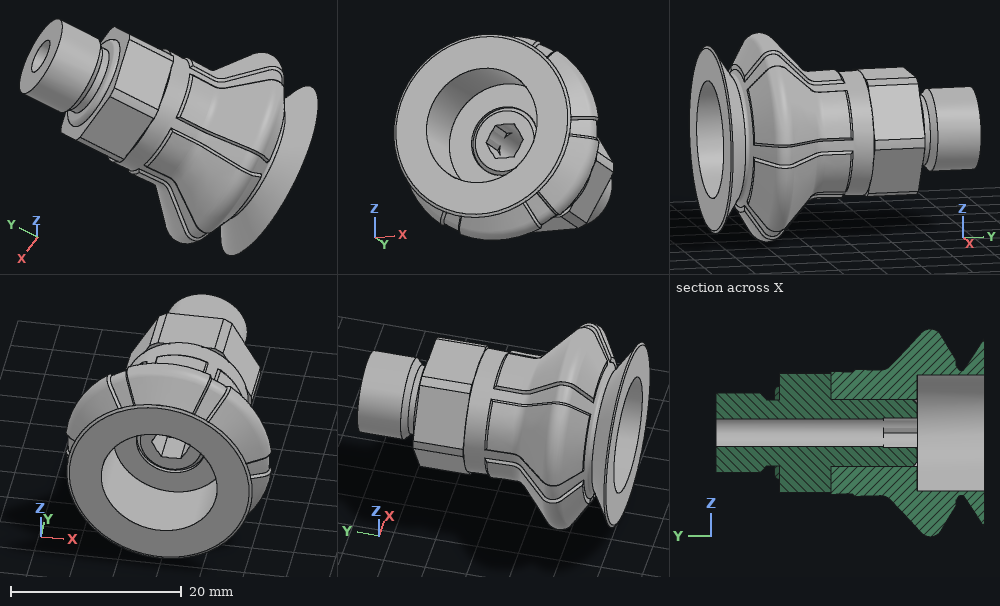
import cadquery as cq
import math


total_length = 31.5
thread_bottom = 26.27
undercut_top = 25.55
seal_top = 24.63
hex_top = 24.07
cup_top = 18.02
pad_top = 15.5
blend_start = 12.2
cavity_floor = 7.88
rim_level = 6.35
pad_bottom = 3.35
neck_bottom = 2.52
lip_thickness = 0.15

thread_radius = 4.88
stem_radius = 4.13
stem_chamfer = 0.47
hex_across_flats = 14.0
hex_corner_diameter = 15.53
bore_diameter = 4.13
key_across_flats = 4.0
key_depth = 4.0

seal_radius = 5.65
seal_rounding = 0.55

collar_top_radius = 7.37
collar_radius = 7.2
blend_radius = 1.9
rim_radius = 12.0
rim_rounding = 1.15
lower_cone_angle = math.radians(31.3)
neck_radius = 7.45
neck_blend = 0.3
lip_radius = 11.05
lip_face_radius = 10.7
cavity_radius = 6.9

pad_count = 6
pad_thickness = 0.3
pad_angle = 49.8
pad_root_radius = 7.02


def polar(centre, radius, angle):
    """Point (radius, level) on a circle of the cup section."""
    return (centre[0] + radius * math.cos(angle), centre[1] + radius * math.sin(angle))


def lower_cone_radius(level, offset=0.0):
    """Radius of the underside cone of the bellows, shifted outward by offset."""
    tangent = polar(rim_centre, rim_rounding + offset, lower_normal)
    return tangent[0] - (tangent[1] - level) / math.tan(lower_cone_angle)


blend_centre = (collar_radius + blend_radius, blend_start)
rim_centre = (rim_radius - rim_rounding, rim_level)
centre_gap_r = rim_centre[0] - blend_centre[0]
centre_gap_y = blend_centre[1] - rim_centre[1]
flank_normal = math.atan2(centre_gap_r, centre_gap_y) + math.asin(
    (blend_radius + rim_rounding) / math.hypot(centre_gap_r, centre_gap_y)
)
lower_normal = lower_cone_angle - math.pi / 2


def bellows_outline(sketch, offset):
    """Continue an outline from the collar down to the underside cone, shifted outward by offset."""
    blend = blend_radius - offset
    rim = rim_rounding + offset
    return (
        sketch.lineTo(collar_radius + offset, blend_start)
        .threePointArc(
            polar(blend_centre, blend, math.pi + flank_normal / 2),
            polar(blend_centre, blend, math.pi + flank_normal),
        )
        .lineTo(*polar(rim_centre, rim, flank_normal))
        .threePointArc(
            polar(rim_centre, rim, 0),
            polar(rim_centre, rim, lower_normal),
        )
    )


def axial_sketch():
    """Empty section plane with coordinates (radius along Z, Y)."""
    return cq.Workplane("ZY")


def revolve(sketch, degrees=360):
    """Close a section and turn it about the Y axis."""
    return sketch.close().revolve(degrees, (0, 0), (0, 1))


def make_cup_core():
    """Cup without pads: collar, bellows, neck and lip, with the cavity and the stem hole."""
    neck_corner = pad_bottom - (lower_cone_radius(pad_bottom) - neck_radius) * math.tan(lower_cone_angle)
    setback = neck_blend * math.tan((math.pi / 2 - lower_cone_angle) / 2)
    blend_top = neck_corner + setback * math.sin(lower_cone_angle)
    blend_bottom = neck_corner - setback
    sketch = axial_sketch().moveTo(stem_radius, cup_top).lineTo(collar_top_radius, cup_top)
    sketch = (
        bellows_outline(sketch, 0)
        .lineTo(lower_cone_radius(blend_top), blend_top)
        .tangentArcPoint((neck_radius, blend_bottom), relative=False)
        .lineTo(neck_radius, neck_bottom)
        .lineTo(lip_radius, lip_thickness)
        .lineTo(lip_face_radius, 0)
        .lineTo(cavity_radius, 0)
        .lineTo(cavity_radius, cavity_floor)
        .lineTo(stem_radius, cavity_floor)
    )
    return revolve(sketch)


def make_pad():
    """One raised pad with its top and side edges bevelled down to the cup surface."""
    taper = (collar_top_radius - collar_radius) / (cup_top - blend_start)
    top_radius = collar_radius + taper * (pad_top - blend_start) + pad_thickness
    sketch = axial_sketch().moveTo(pad_root_radius, pad_top).lineTo(top_radius, pad_top)
    sketch = (
        bellows_outline(sketch, pad_thickness)
        .lineTo(lower_cone_radius(pad_bottom, pad_thickness), pad_bottom)
        .lineTo(pad_root_radius, pad_bottom)
    )
    pad = revolve(sketch, pad_angle)

    def is_bevelled(edge):
        start = edge.startPoint()
        end = edge.endPoint()
        middle = edge.positionAt(0.5)
        radius = math.hypot(middle.x, middle.z)
        along_axis = abs(start.y - end.y) > pad_thickness / 2
        on_top = min(start.y, end.y) > pad_top - pad_thickness / 2 and edge.geomType() == "CIRCLE"
        return (along_axis or on_top) and radius > pad_root_radius + pad_thickness / 2

    bevelled_edges = [edge for edge in pad.edges().vals() if is_bevelled(edge)]
    return pad.newObject(bevelled_edges).chamfer(pad_thickness)


def make_cup():
    """Cup core joined with the ring of pads, the first one centred on the Z axis."""
    cup = make_cup_core()
    pad = make_pad()
    pitch = 360 / pad_count
    first_turn = -pad_angle / 2
    for index in range(pad_count):
        cup = cup.union(pad.rotate((0, 0, 0), (0, 1, 0), index * pitch + first_turn))
    return cup


def hexagon(across_flats, bottom, height):
    """Hexagonal prism along Y with flats facing +Z and -Z."""
    across_corners = across_flats / math.cos(math.pi / 6)
    return (
        cq.Workplane("XZ", origin=(0, bottom, 0))
        .polygon(6, across_corners)
        .extrude(-height)
    )


def make_fitting():
    """Threaded end, undercut, hexagon and stem, with a through bore and a hexagonal key socket."""
    turned = (
        cq.Workplane("XY")
        .moveTo(0, cavity_floor)
        .lineTo(stem_radius - stem_chamfer, cavity_floor)
        .lineTo(stem_radius, cavity_floor + stem_chamfer)
        .lineTo(stem_radius, undercut_top)
        .lineTo(thread_radius, thread_bottom)
        .lineTo(thread_radius, total_length)
        .lineTo(0, total_length)
    )
    hex_height = hex_top - cup_top
    corner_turning = (
        cq.Workplane("XZ", origin=(0, cup_top, 0)).circle(hex_corner_diameter / 2).extrude(-hex_height)
    )
    nut = hexagon(hex_across_flats, cup_top, hex_height).intersect(corner_turning)
    bore = (
        cq.Workplane("XZ", origin=(0, cavity_floor, 0))
        .circle(bore_diameter / 2)
        .extrude(cavity_floor - total_length)
    )
    key_socket = hexagon(key_across_flats, cavity_floor, key_depth)
    return revolve(turned).union(nut).cut(bore).cut(key_socket)


def make_seal():
    """Flat ring around the undercut with a rounded upper outer edge."""
    ring = (
        cq.Workplane("XZ", origin=(0, hex_top, 0))
        .circle(seal_radius)
        .circle(stem_radius)
        .extrude(hex_top - seal_top)
    )
    return ring.faces(">Y").edges(cq.selectors.RadiusNthSelector(-1)).fillet(seal_rounding)


cup = make_cup()
fitting = make_fitting()
seal = make_seal()

result = cq.Compound.makeCompound([cup.val(), fitting.val(), seal.val()])